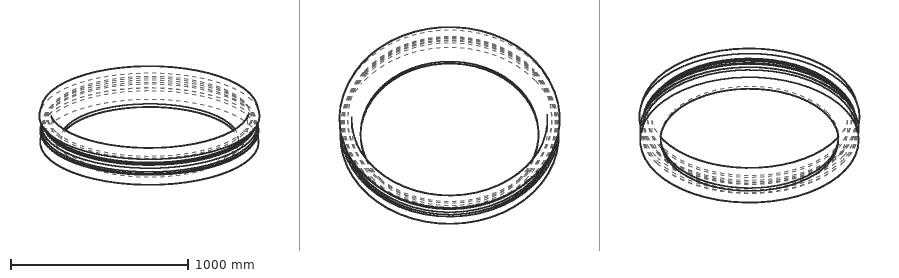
import cadquery as cq

outer_radius = 622.0
height = 210.0

body_radius = 608.0
foot_radius = 618.0
foot_height = 35.0
rib_bottom = 57.0
rib_peak_height = 70.0
rib_top = 76.0
rib_radius = 618.0
body_top = 98.0

step_radius = 598.0
step_height = 113.0
lip_radius = 603.0
lip_height = 125.0
neck_foot_radius = 595.0
neck_foot_height = 128.0
neck_radius = 578.0
neck_height = 148.0
neck_top_radius = 575.0

rim_bottom = 159.0
rim_top_radius = 609.0
rim_outer_fillet = 16.0
rim_inner_fillet = 19.0

mouth_radius = 566.0
bore_radius = 553.0
taper_bottom = 163.0
opening_diameter = 1005.0
opening_radius = opening_diameter / 2
floor_thickness = 20.0
cove_radius = bore_radius - opening_radius


def outer_profile():
    """(radius, height) corners of the outside, from bottom to top."""
    foot_and_rib = [
        (foot_radius, 0),
        (body_radius, foot_height),
        (body_radius, rib_bottom),
        (rib_radius, rib_peak_height),
        (body_radius, rib_top),
        (body_radius, body_top),
    ]
    neck = [
        (step_radius, step_height),
        (lip_radius, lip_height),
        (neck_foot_radius, neck_foot_height),
        (neck_radius, neck_height),
        (neck_top_radius, rim_bottom),
    ]
    rim = [
        (outer_radius, rim_bottom),
        (rim_top_radius, height),
    ]
    return foot_and_rib + neck + rim


def ring_blank():
    """Ring with sharp rim corners, revolved about Z."""
    profile = (
        cq.Workplane("XZ")
        .moveTo(opening_radius, 0)
        .polyline(outer_profile(), includeCurrent=True)
        .lineTo(mouth_radius, height)
        .lineTo(bore_radius, taper_bottom)
        .lineTo(bore_radius, floor_thickness + cove_radius)
        .radiusArc((opening_radius, floor_thickness), cove_radius)
        .close()
    )
    return profile.revolve(360, (0, 0), (0, 1))


def round_rim(ring):
    """Round the outer and inner edges of the flat rim face."""
    outer_edge_selector = cq.selectors.RadiusNthSelector(-1)
    ring = ring.faces(">Z").edges(outer_edge_selector).fillet(rim_outer_fillet)
    inner_edge_selector = cq.selectors.RadiusNthSelector(0)
    return ring.faces(">Z").edges(inner_edge_selector).fillet(rim_inner_fillet)


result = round_rim(ring_blank())